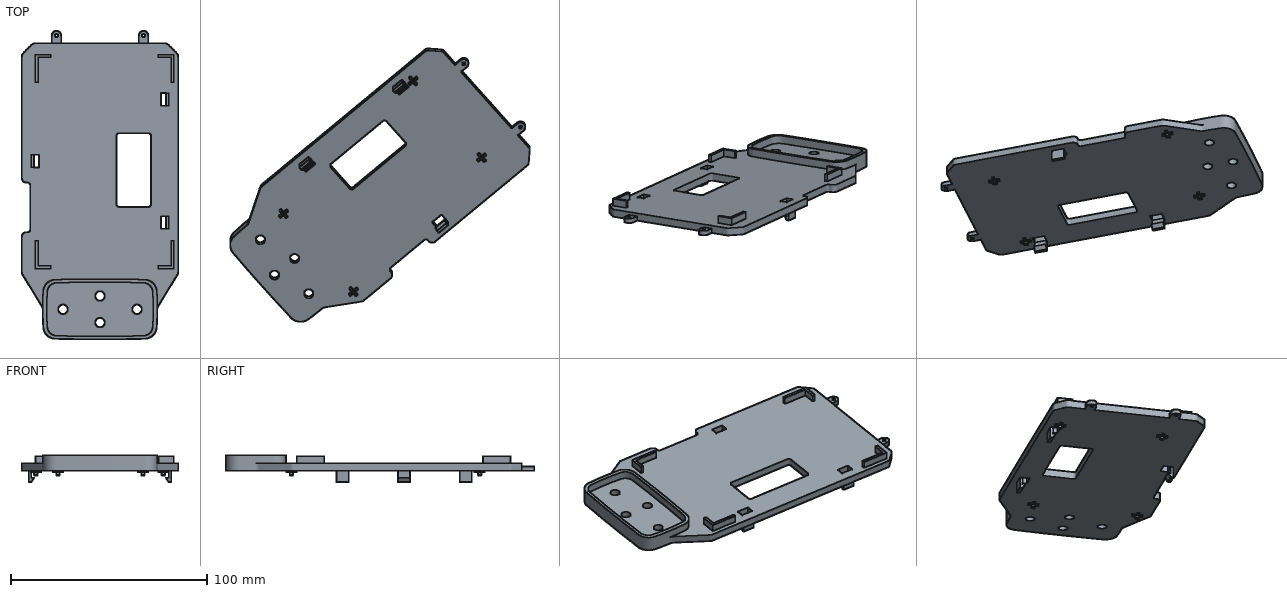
import cadquery as cq
plate_width = 79.8
plate_thickness = 4.0
plate_back = 72.5
shoulder_y = -45.0
back_chamfer = 5.8
corner_radius = 2.4
half_width = plate_width / 2

notch_depth = 4.3
notch_back = 1.3
notch_front = -24.0
notch_inner_radius = 1.3

window_left = 8.5
window_right = 26.0
window_front = -11.0
window_back = 26.5
window_radius = 1.3

tray_half_width = 28.5
tray_back = -48.3
tray_bow_x = 0.8
tray_bow_y = 0.5
tray_front = -78.7 + tray_bow_y
tray_corner_radius = 6.5
tray_height = 8.0
tray_wall_x = 2.0
tray_wall_y = 1.5
tray_centre_y = (tray_back + tray_front) / 2
tray_hole_diameter = 4.7
tray_hole_x = 18.9
tray_hole_y = 6.8
joint_radius = 2.4
taper_end_y = -63.8
joint_reach = 3.1

tab_x = 22.2
tab_width = 4.9
tab_thickness = 2.4
tab_tip = 78.7
tab_hole_diameter = 1.5

board_left = -32.9
board_right = 37.6
board_front = -42.5
board_back = 66.6
bracket_length_x = 7.9
bracket_length_y = 14.2
bracket_wall = 1.4
bracket_height = 3.6

clip_length = 6.3
clip_depth = 5.7
clip_wall = 1.4
clip_inner_x = 35.0
hook_reach = 1.4
hook_top = 3.5
slot_width = 3.8
clip_places = [(-1, 12.3), (1, 43.8), (1, -19.0)]

peg_places = [(-32.8, -45.2), (21.9, -45.2), (-21.4, 50.9), (32.3, 50.9)]
peg_diameter = 1.9
peg_length = 2.4
peg_tip_chamfer = 0.3
peg_rib_length = 5.4
peg_rib_width = 1.3
peg_rib_height = 0.8


def box(x0, x1, y0, y1, z0, z1):
    return cq.Workplane("XY").box(x1 - x0, y1 - y0, z1 - z0, centered=False).translate((x0, y0, z0))


def bowed_block(half_x, half_y, radius, z0, z1):
    """Rounded block on the tray's centre whose four sides bulge outwards."""
    return (
        cq.Workplane("XY", origin=(0, tray_centre_y, z0))
        .moveTo(-half_x, -half_y)
        .threePointArc((0, -half_y - tray_bow_y), (half_x, -half_y))
        .threePointArc((half_x + tray_bow_x, 0), (half_x, half_y))
        .threePointArc((0, half_y + tray_bow_y), (-half_x, half_y))
        .threePointArc((-half_x - tray_bow_x, 0), (-half_x, -half_y))
        .close()
        .extrude(z1 - z0)
        .edges("|Z")
        .fillet(radius)
    )


def make_plate():
    sheet = (
        cq.Workplane("XY")
        .moveTo(-half_width, shoulder_y)
        .lineTo(-half_width, plate_back - back_chamfer)
        .lineTo(-half_width + back_chamfer, plate_back)
        .lineTo(half_width - back_chamfer, plate_back)
        .lineTo(half_width, plate_back - back_chamfer)
        .lineTo(half_width, shoulder_y)
        .lineTo(tray_half_width, taper_end_y)
        .lineTo(-tray_half_width, taper_end_y)
        .close()
        .extrude(plate_thickness)
        .edges("|Z and (>X or <X or >Y)")
        .fillet(corner_radius)
    )
    notch_floor = -half_width + notch_depth
    notch = box(-half_width - notch_depth, notch_floor, notch_front, notch_back, 0, plate_thickness)
    notch = notch.edges("|Z and >X").fillet(notch_inner_radius)
    sheet = sheet.cut(notch)
    for y in (notch_front, notch_back):
        corner = cq.selectors.NearestToPointSelector((-half_width, y, plate_thickness / 2))
        sheet = sheet.edges(corner).fillet(corner_radius)
    window = box(window_left, window_right, window_front, window_back, 0, plate_thickness)
    return sheet.cut(window.edges("|Z").fillet(window_radius))


def add_tray(plate):
    half_y = (tray_back - tray_front) / 2
    shell = bowed_block(tray_half_width, half_y, tray_corner_radius, 0, tray_height)
    pocket = bowed_block(
        tray_half_width - tray_wall_x,
        half_y - tray_wall_y,
        tray_corner_radius - tray_wall_y,
        plate_thickness,
        tray_height,
    )
    holes = (
        cq.Workplane("XY", origin=(0, tray_centre_y, 0))
        .pushPoints([(-tray_hole_x, 0), (tray_hole_x, 0), (0, -tray_hole_y), (0, tray_hole_y)])
        .circle(tray_hole_diameter / 2)
        .extrude(tray_height)
    )
    plate = plate.union(shell)
    for side in (-1, 1):
        joint = cq.selectors.BoxSelector(
            (side * (tray_half_width - joint_reach / 2), taper_end_y - joint_reach, 0),
            (side * (tray_half_width + joint_reach), taper_end_y + joint_reach, plate_thickness),
        )
        plate = plate.edges("|Z").edges(joint).fillet(joint_radius)
    return plate.cut(pocket).cut(holes)


def make_tab(x):
    radius = tab_width / 2
    centre_y = tab_tip - radius
    tab = box(x - radius, x + radius, plate_back - radius, centre_y, 0, tab_thickness)
    eye = cq.Workplane("XY", origin=(x, centre_y, 0))
    tab = tab.union(eye.circle(radius).extrude(tab_thickness))
    return tab.cut(eye.circle(tab_hole_diameter / 2).extrude(tab_thickness))


def make_bracket(x, y, inward_x, inward_y):
    """L-shaped wall with its outer corner at x, y; inward_x and inward_y point along its legs."""
    wall_x = x + inward_x * bracket_wall
    wall_y = y + inward_y * bracket_wall
    end_x = x + inward_x * bracket_length_x
    end_y = y + inward_y * bracket_length_y
    return (
        cq.Workplane("XY", origin=(0, 0, plate_thickness))
        .polyline([(x, y), (end_x, y), (end_x, wall_y), (wall_x, wall_y), (wall_x, end_y), (x, end_y)])
        .close()
        .extrude(bracket_height)
    )


def make_slot(side, y):
    middle_x = side * (clip_inner_x - slot_width / 2)
    return (
        cq.Workplane("XY", origin=(middle_x, y, 0)).rect(slot_width, clip_length).extrude(plate_thickness)
    )


def make_clip(side, y):
    """Wall hanging below the plate, with a hook that points towards the middle."""
    inner = side * clip_inner_x
    outer = side * (clip_inner_x + clip_wall)
    tip = side * (clip_inner_x - hook_reach)
    return (
        cq.Workplane("XZ", origin=(0, y + clip_length / 2, 0))
        .polyline([(outer, 0), (outer, -clip_depth), (inner, -clip_depth), (tip, -hook_top),
                   (inner, -hook_top), (inner, 0)])
        .close()
        .extrude(clip_length)
    )


def make_peg(x, y):
    """Round pin braced by a flat cross of ribs at its root."""
    base = cq.Workplane("XY", origin=(x, y, 0))
    pin = base.circle(peg_diameter / 2).extrude(-peg_length).faces("<Z").chamfer(peg_tip_chamfer)
    along_x = base.rect(peg_rib_length, peg_rib_width).extrude(-peg_rib_height)
    along_y = base.rect(peg_rib_width, peg_rib_length).extrude(-peg_rib_height)
    return pin.union(along_x).union(along_y)


plate = add_tray(make_plate())
for tab_side in (-1, 1):
    plate = plate.union(make_tab(tab_side * tab_x))
for corner_x, leg_x in ((board_left, 1), (board_right, -1)):
    for corner_y, leg_y in ((board_front, 1), (board_back, -1)):
        plate = plate.union(make_bracket(corner_x, corner_y, leg_x, leg_y))
for clip_side, clip_y in clip_places:
    plate = plate.cut(make_slot(clip_side, clip_y))

clips = [make_clip(clip_side, clip_y) for clip_side, clip_y in clip_places]
pegs = [make_peg(peg_x, peg_y) for peg_x, peg_y in peg_places]

result = cq.Compound.makeCompound(
    [plate.val(), *[clip.val() for clip in clips], *[peg.val() for peg in pegs]]
)